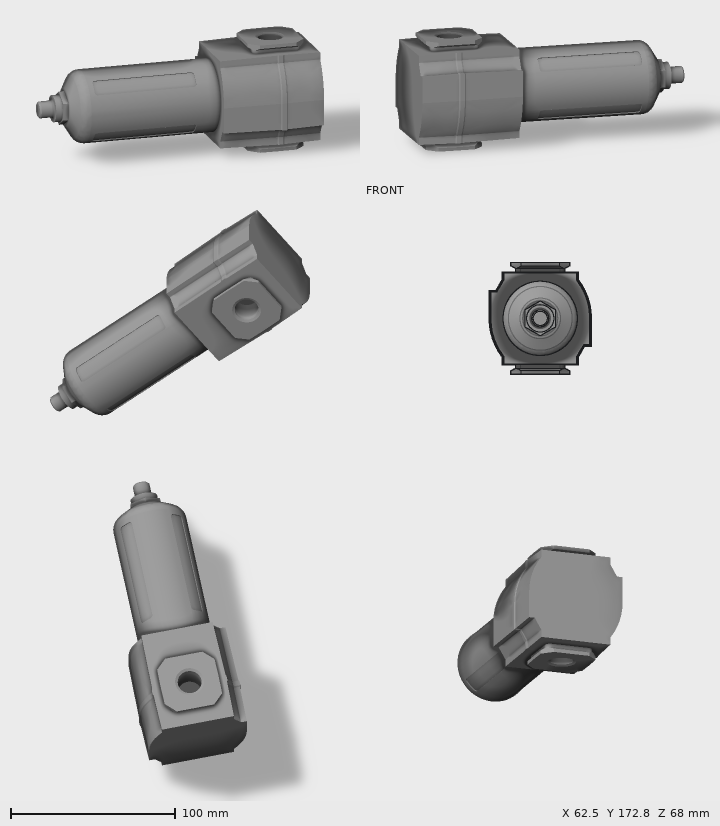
import cadquery as cq
import math


HOUSING_BACK = 25.2
HOUSING_FRONT = 38.4
HOUSING_DRAFT = 1
FLAT_Z = 28.3
SIDE_X = 30.8
NECK_X = 22.8
CORNER_Z = 23.5
STEP_X = 27.0
STEP_Z = 16.6

RIB_HEIGHT = 0.43
RIB_TOP_WIDTH = 2.8
RIB_ROOT_WIDTH = 4.8
RIB_ROOT_DEPTH = 0.2

PORT_FACE_Z = 34.0
FLANGE_EDGE_Z = 32.0
FLANGE_NECK_Z = 30.4
FLANGE_SIDE_MID = 18.0
FLANGE_SIDE = 17.8
FLANGE_CORNER = 11.5
PORT_NECK_SIDE = 15.2
PORT_NECK_RADIUS = 3.3
PORT_RADIUS = 7.3
PORT_DEPTH = 17.3
PORT_MOUTH_RADIUS = 8.8
PORT_MOUTH_DEPTH = 0.9

BOWL_RADIUS = 22.6
BOWL_TIP_RADIUS = 11.5
BOWL_CONE_START = 124.0
BOWL_END = 131.0
BOWL_SHOULDER_FILLET = 6.9
BOWL_TIP_FILLET = 3.1

WINDOW_COUNT = 4
WINDOW_START = 52.4
WINDOW_LENGTH = 64.6
WINDOW_WIDTH = 10.0
WINDOW_DEPTH = 0.7
WINDOW_CORNER_RADIUS = 1.7

DRAIN_HEX_FLATS = 18.3
DRAIN_HEX_LENGTH = 3.3
DRAIN_COLLAR_RADIUS = 8.3
DRAIN_COLLAR_LENGTH = 4.1
DRAIN_STEM_RADIUS = 5.2
DRAIN_STEM_FILLET = 1.0
DRAIN_TIP_CHAMFER = 0.9
TOTAL_LENGTH = 172.8


def plane_at(distance):
    """Plane square to the bowl axis, facing -Y, at a distance in front of the parting plane."""
    return cq.Workplane("XZ", origin=(0, -distance, 0))


def housing_outline(offset=0, distance=0):
    """Housing outline with its sides moved outward by an offset; the top and bottom flats stay in place."""
    side_x = SIDE_X + offset
    neck_x = NECK_X + offset
    step_z = STEP_Z + offset
    sagitta = side_x - neck_x
    radius = (sagitta**2 + CORNER_Z**2) / (2 * sagitta)
    half_angle = math.asin(CORNER_Z / radius) / 2
    arc_x = side_x - radius * (1 - math.cos(half_angle))
    arc_z = radius * math.sin(half_angle)
    return (
        plane_at(distance)
        .moveTo(-neck_x, FLAT_Z)
        .lineTo(neck_x, FLAT_Z)
        .lineTo(neck_x, CORNER_Z)
        .threePointArc((arc_x, arc_z), (side_x, 0))
        .lineTo(side_x, -step_z)
        .lineTo(STEP_X, -step_z)
        .lineTo(neck_x, -CORNER_Z)
        .lineTo(neck_x, -FLAT_Z)
        .lineTo(-neck_x, -FLAT_Z)
        .lineTo(-neck_x, -CORNER_Z)
        .threePointArc((-arc_x, -arc_z), (-side_x, 0))
        .lineTo(-side_x, step_z)
        .lineTo(-STEP_X, step_z)
        .lineTo(-neck_x, CORNER_Z)
        .close()
    )


def make_block():
    front = housing_outline().extrude(HOUSING_FRONT, taper=HOUSING_DRAFT)
    back = housing_outline().extrude(-HOUSING_BACK, taper=HOUSING_DRAFT)
    return front.union(back)


def make_rib_half(side):
    """Half of the rib in front of (side 1) or behind (side -1) the parting plane, with a sloping flank."""
    top_distance = side * RIB_TOP_WIDTH / 2
    root_distance = side * RIB_ROOT_WIDTH / 2
    crest = housing_outline(RIB_HEIGHT).extrude(top_distance)
    top = housing_outline(RIB_HEIGHT, top_distance).val()
    root = housing_outline(-RIB_ROOT_DEPTH, root_distance).val()
    flank = cq.Workplane(cq.Solid.makeLoft([top, root], True))
    slab = plane_at(0).rect(4 * SIDE_X, 2 * FLAT_Z).extrude(root_distance, taper=HOUSING_DRAFT)
    return crest.union(flank).intersect(slab)


def make_port_flange():
    """Square neck carrying a square plate with cut corners and a sloping skirt."""
    neck = (
        cq.Workplane("XY")
        .rect(2 * PORT_NECK_SIDE, 2 * PORT_NECK_SIDE)
        .extrude(FLANGE_NECK_Z)
        .edges("|Z")
        .fillet(PORT_NECK_RADIUS)
    )
    skirt = (
        cq.Workplane("XY", origin=(0, 0, FLANGE_NECK_Z))
        .rect(2 * PORT_NECK_SIDE, 2 * PORT_NECK_SIDE)
        .workplane(offset=FLANGE_EDGE_Z - FLANGE_NECK_Z)
        .rect(2 * FLANGE_SIDE_MID, 2 * FLANGE_SIDE_MID)
        .loft()
    )
    edge = (
        cq.Workplane("XY", origin=(0, 0, FLANGE_EDGE_Z))
        .rect(2 * FLANGE_SIDE_MID, 2 * FLANGE_SIDE_MID)
        .extrude(PORT_FACE_Z - FLANGE_EDGE_Z)
    )
    half_outline = [
        (FLANGE_CORNER, -FLANGE_SIDE),
        (FLANGE_SIDE, -FLANGE_CORNER),
        (FLANGE_SIDE_MID, 0),
        (FLANGE_SIDE, FLANGE_CORNER),
        (FLANGE_CORNER, FLANGE_SIDE),
    ]
    other_half = [(-x, -y) for x, y in half_outline]
    cut_corners = cq.Workplane("XY").polyline(half_outline + other_half).close().extrude(PORT_FACE_Z)
    return skirt.union(edge).intersect(cut_corners).union(neck)


def make_port_hole():
    """Blind port hole with a conical mouth."""
    floor_z = PORT_FACE_Z - PORT_DEPTH
    mouth_z = PORT_FACE_Z - PORT_MOUTH_DEPTH
    profile = [
        (0, floor_z),
        (PORT_RADIUS, floor_z),
        (PORT_RADIUS, mouth_z),
        (PORT_MOUTH_RADIUS, PORT_FACE_Z),
        (0, PORT_FACE_Z),
    ]
    return cq.Workplane("XZ").polyline(profile).close().revolve(360, (0, 0), (0, 1))


def make_housing():
    housing = make_block().union(make_rib_half(1)).union(make_rib_half(-1))
    flange = make_port_flange()
    hole = make_port_hole()
    for angle in (0, 180):
        housing = housing.union(flange.rotate((0, 0, 0), (0, 1, 0), angle))
    for angle in (0, 180):
        housing = housing.cut(hole.rotate((0, 0, 0), (0, 1, 0), angle))
    return housing


def make_window():
    """Pocket on the +Z side of the bowl, with a floor that follows the bowl wall."""
    pocket = (
        cq.Workplane("XY", origin=(0, -WINDOW_START - WINDOW_LENGTH / 2, 0))
        .rect(WINDOW_WIDTH, WINDOW_LENGTH)
        .extrude(BOWL_RADIUS)
        .edges("|Z")
        .fillet(WINDOW_CORNER_RADIUS)
    )
    core = plane_at(HOUSING_FRONT).circle(BOWL_RADIUS - WINDOW_DEPTH).extrude(BOWL_END - HOUSING_FRONT)
    return pocket.cut(core)


def make_bowl():
    profile = [
        (0, -HOUSING_FRONT),
        (BOWL_RADIUS, -HOUSING_FRONT),
        (BOWL_RADIUS, -BOWL_CONE_START),
        (BOWL_TIP_RADIUS, -BOWL_END),
        (0, -BOWL_END),
    ]
    bowl = cq.Workplane("XY").polyline(profile).close().revolve(360, (0, 0), (0, 1))
    smallest_circle = cq.selectors.RadiusNthSelector(0)
    largest_circle = cq.selectors.RadiusNthSelector(-1)
    bowl = bowl.faces("<Y").edges(smallest_circle).fillet(BOWL_TIP_FILLET)
    bowl = bowl.edges(largest_circle).edges("<Y").fillet(BOWL_SHOULDER_FILLET)
    window = make_window()
    pitch = 360 / WINDOW_COUNT
    for i in range(WINDOW_COUNT):
        bowl = bowl.cut(window.rotate((0, 0, 0), (0, 1, 0), (i + 0.5) * pitch))
    return bowl


def make_drain():
    """Hexagon with points up and down, then a round collar and a stem."""
    collar_start = BOWL_END + DRAIN_HEX_LENGTH
    stem_start = collar_start + DRAIN_COLLAR_LENGTH
    tip = TOTAL_LENGTH - HOUSING_BACK
    hex_points_diameter = DRAIN_HEX_FLATS / math.cos(math.pi / 6)
    hexagon = (
        plane_at(BOWL_END)
        .transformed(rotate=(0, 0, 30))
        .polygon(6, hex_points_diameter)
        .extrude(DRAIN_HEX_LENGTH)
    )
    collar = plane_at(collar_start).circle(DRAIN_COLLAR_RADIUS).extrude(DRAIN_COLLAR_LENGTH)
    stem = (
        plane_at(stem_start)
        .circle(DRAIN_STEM_RADIUS)
        .extrude(tip - stem_start)
        .faces("<Y")
        .chamfer(DRAIN_TIP_CHAMFER)
    )
    drain = hexagon.union(collar).union(stem)
    stem_circles = cq.selectors.RadiusNthSelector(1)
    return drain.edges("%CIRCLE").edges(stem_circles).edges(">Y").fillet(DRAIN_STEM_FILLET)


housing = make_housing()
bowl = make_bowl()
drain = make_drain()

result = cq.Compound.makeCompound([housing.val(), bowl.val(), drain.val()])